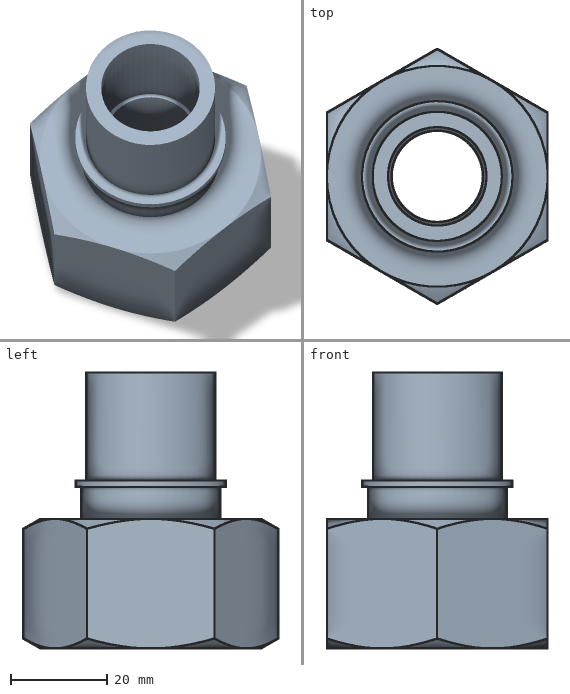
import cadquery as cq
import math

across_flats = 46.0
across_corners = across_flats / math.cos(math.radians(30))
nut_height = 26.95
chamfer_angle = 30.0

total_height = 57.5
neck_diameter = 29.0
flange_diameter = 31.35
flange_bottom = 33.65
flange_thickness = 1.4
tube_diameter = 26.9

tube_bore_diameter = 20.5
lower_bore_diameter = 19.0
bore_step_height = flange_bottom + flange_thickness


def cylinder(diameter, bottom, top):
    """Solid cylinder on the Z axis between two heights."""
    return cq.Workplane("XY").workplane(offset=bottom).circle(diameter / 2).extrude(top - bottom)


def make_nut():
    """Hexagonal prism with corners on the Y axis and conically chamfered ends."""
    prism = (
        cq.Workplane("XY")
        .polygon(6, across_corners)
        .extrude(nut_height)
        .rotate((0, 0, 0), (0, 0, 1), 30)
    )
    face_radius = across_flats / 2
    rim_radius = across_corners / 2 + 0.6
    rim_drop = (rim_radius - face_radius) * math.tan(math.radians(chamfer_angle))
    envelope = (
        cq.Workplane("XZ")
        .moveTo(0, 0)
        .lineTo(face_radius, 0)
        .lineTo(rim_radius, rim_drop)
        .lineTo(rim_radius, nut_height - rim_drop)
        .lineTo(face_radius, nut_height)
        .lineTo(0, nut_height)
        .close()
        .revolve(360, (0, 0, 0), (0, 1, 0))
    )
    return prism.intersect(envelope)


def make_sleeve():
    """Neck, thin flange and tube stacked above the nut."""
    flange_top = flange_bottom + flange_thickness
    neck = cylinder(neck_diameter, nut_height, flange_bottom)
    flange = cylinder(flange_diameter, flange_bottom, flange_top)
    tube = cylinder(tube_diameter, flange_top, total_height)
    return neck.union(flange).union(tube)


def make_bore():
    """Stepped hole running through the whole part."""
    lower = cylinder(lower_bore_diameter, 0, bore_step_height)
    upper = cylinder(tube_bore_diameter, bore_step_height, total_height)
    return lower.union(upper)


result = make_nut().union(make_sleeve()).cut(make_bore())